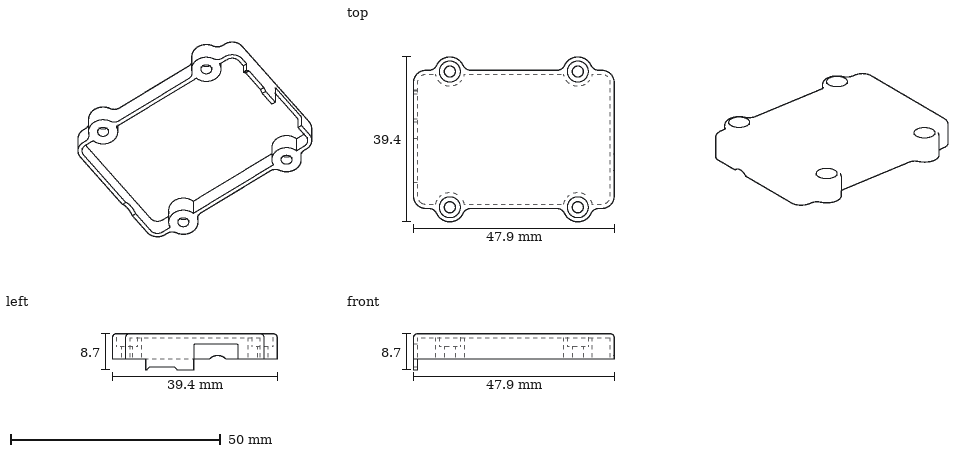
import cadquery as cq
import math

LENGTH = 47.9
WIDTH = 33.0
HEIGHT = 6.1
CORNER_RADIUS = 3.0
TOP_ROUND = 1.0
WALL = 1.0
ROOF = 1.0

OVERALL_WIDTH = 39.35
LOBE_RADIUS = 3.5
LOBE_BLEND_RADIUS = 2.0
SCREW_X = 15.25
SCREW_Y = OVERALL_WIDTH / 2 - LOBE_RADIUS
SCREW_HOLE_DIAMETER = 2.6
HEAD_DIAMETER = 5.0
HEAD_SEAT_THICKNESS = 3.0

OPENING_HEIGHT = 3.6
OPENING_Y_MIN = -10.3
OPENING_Y_MAX = 0.25
OPENING_CORNER_RADIUS = 0.3

TAB_Y_MAX = 11.75
TAB_DROP = 2.6
TAB_ROOT = 1.0
TAB_NOTCH_DEPTH = 0.75
TAB_NOTCH_Y_MIN = 4.1
TAB_NOTCH_Y_MAX = 11.55

ARCH_Y = -5.45
ARCH_HALF_WIDTH = 2.0
ARCH_HEIGHT = 0.87

EPS = 0.5
SCREW_POINTS = [(sx * SCREW_X, sy * SCREW_Y) for sx in (-1, 1) for sy in (-1, 1)]


def blend_wedge(screw_x, side_x, side_y):
    """Filler between a lobe and the long wall, hollowed by a tangent concave arc."""
    wall_y = WIDTH / 2
    arc_y = wall_y + LOBE_BLEND_RADIUS
    reach = LOBE_RADIUS + LOBE_BLEND_RADIUS
    arc_dx = math.sqrt(reach**2 - (arc_y - SCREW_Y) ** 2)
    touch_dx = arc_dx * LOBE_RADIUS / reach
    touch_y = SCREW_Y + (arc_y - SCREW_Y) * LOBE_RADIUS / reach
    half_angle = math.atan2(arc_dx, arc_y - SCREW_Y) / 2
    mid_dx = arc_dx - LOBE_BLEND_RADIUS * math.sin(half_angle)
    mid_y = arc_y - LOBE_BLEND_RADIUS * math.cos(half_angle)

    def place(dx, y):
        return (screw_x + side_x * dx, side_y * y)

    return (
        cq.Workplane("XY")
        .moveTo(*place(0, SCREW_Y))
        .lineTo(*place(touch_dx, touch_y))
        .threePointArc(place(mid_dx, mid_y), place(arc_dx, wall_y))
        .lineTo(*place(arc_dx, SCREW_Y - LOBE_RADIUS))
        .lineTo(*place(0, SCREW_Y - LOBE_RADIUS))
        .close()
        .extrude(HEIGHT)
    )


def outer_body():
    """Rounded block with blended screw lobes and a rounded top edge."""
    body = cq.Workplane("XY").box(LENGTH, WIDTH, HEIGHT, centered=(True, True, False))
    body = body.edges("|Z").fillet(CORNER_RADIUS)
    body = body.union(cq.Workplane("XY").pushPoints(SCREW_POINTS).circle(LOBE_RADIUS).extrude(HEIGHT))
    for screw_x in (-SCREW_X, SCREW_X):
        for side_x in (-1, 1):
            for side_y in (-1, 1):
                body = body.union(blend_wedge(screw_x, side_x, side_y))
    return body.clean().faces(">Z").edges().fillet(TOP_ROUND)


def cavity():
    """Inner space, leaving the walls, the roof and full-height screw posts."""
    space = (
        cq.Workplane("XY")
        .workplane(offset=-EPS)
        .rect(LENGTH - 2 * WALL, WIDTH - 2 * WALL)
        .extrude(HEIGHT - ROOF + EPS)
        .edges("|Z")
        .fillet(CORNER_RADIUS - WALL)
    )
    posts = cq.Workplane("XY").workplane(offset=-EPS).pushPoints(SCREW_POINTS)
    return space.cut(posts.circle(LOBE_RADIUS).extrude(HEIGHT + EPS))


def screw_holes():
    """Through holes with deep head recesses from the top."""
    holes = (
        cq.Workplane("XY")
        .workplane(offset=-EPS)
        .pushPoints(SCREW_POINTS)
        .circle(SCREW_HOLE_DIAMETER / 2)
        .extrude(HEIGHT + 2 * EPS)
    )
    recesses = (
        cq.Workplane("XY")
        .workplane(offset=HEAD_SEAT_THICKNESS)
        .pushPoints(SCREW_POINTS)
        .circle(HEAD_DIAMETER / 2)
        .extrude(HEIGHT)
    )
    return holes.union(recesses)


def wall_opening():
    """Cutter for the opening in the -X wall, open at the rim."""
    return (
        cq.Workplane("YZ")
        .workplane(offset=-LENGTH / 2 - EPS)
        .moveTo(OPENING_Y_MIN, -EPS)
        .lineTo(OPENING_Y_MAX, -EPS)
        .lineTo(OPENING_Y_MAX, OPENING_HEIGHT)
        .lineTo(OPENING_Y_MIN, OPENING_HEIGHT)
        .close()
        .extrude(WALL + EPS)
        .edges("|X and >Z")
        .fillet(OPENING_CORNER_RADIUS)
    )


def tab():
    """Plate flush with the -X wall, with a shallow notch with 45 degree ends in its lower edge."""
    notch_z = TAB_NOTCH_DEPTH - TAB_DROP
    return (
        cq.Workplane("YZ")
        .workplane(offset=-LENGTH / 2)
        .moveTo(OPENING_Y_MAX, TAB_ROOT)
        .lineTo(OPENING_Y_MAX, -TAB_DROP)
        .lineTo(TAB_NOTCH_Y_MIN, -TAB_DROP)
        .lineTo(TAB_NOTCH_Y_MIN + TAB_NOTCH_DEPTH, notch_z)
        .lineTo(TAB_NOTCH_Y_MAX - TAB_NOTCH_DEPTH, notch_z)
        .lineTo(TAB_NOTCH_Y_MAX, -TAB_DROP)
        .lineTo(TAB_Y_MAX, -TAB_DROP)
        .lineTo(TAB_Y_MAX, TAB_ROOT)
        .close()
        .extrude(WALL)
    )


def arch_notch():
    """Cutter for the arched notch in the rim of the +X wall."""
    radius = (ARCH_HALF_WIDTH**2 + ARCH_HEIGHT**2) / (2 * ARCH_HEIGHT)
    return (
        cq.Workplane("YZ")
        .workplane(offset=LENGTH / 2 - WALL)
        .center(ARCH_Y, ARCH_HEIGHT - radius)
        .circle(radius)
        .extrude(WALL + EPS)
    )


result = outer_body().cut(cavity()).cut(screw_holes()).cut(wall_opening()).cut(arch_notch()).union(tab())